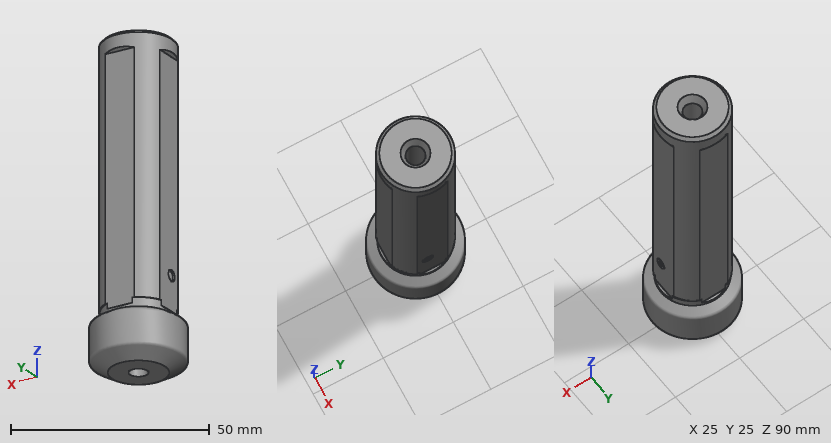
import cadquery as cq
import math

total_height = 90.0
head_radius = 12.5
head_foot_radius = 7.7
neck_radius = 9.7
shank_radius = 10.0
neck_bottom = 14.0
neck_top = 16.5
top_chamfer = 0.9
head_edge_radius = 0.9
cone_slope = math.tan(math.radians(30))

flat_distance = 9.0
flat_bottom = 15.0
flat_top = 85.0

bore_radius = 2.5
countersink_radius = 3.8
countersink_depth = (countersink_radius - bore_radius) / cone_slope

pin_radius = 1.5
pin_y = -1.3
pin_z = 25.0
pin_recess = 0.1
dome_height = 0.45


def make_body():
    """Revolve the headed shank and round the two rims of the head."""
    head_top = neck_bottom - (head_radius - neck_radius) * cone_slope
    head_bottom = (head_radius - head_foot_radius) * cone_slope
    profile = [
        (0, 0),
        (head_foot_radius, 0),
        (head_radius, head_bottom),
        (head_radius, head_top),
        (neck_radius, neck_bottom),
        (neck_radius, neck_top),
        (shank_radius, neck_top),
        (shank_radius, total_height - top_chamfer),
        (shank_radius - top_chamfer, total_height),
        (0, total_height),
    ]
    body = cq.Workplane("XZ").polyline(profile).close().revolve(360, (0, 0), (0, 1))
    rims = body.edges(cq.selectors.RadiusNthSelector(-1))
    return rims.fillet(head_edge_radius)


def make_flat_cutter(angle):
    """Prism outside one flat; its ends slope outward at the run-out angle."""
    depth = head_radius - flat_distance
    runout = depth * cone_slope
    section = [
        (flat_distance, flat_bottom),
        (head_radius, flat_bottom - runout),
        (head_radius, flat_top + runout),
        (flat_distance, flat_top),
    ]
    cutter = cq.Workplane("XZ").polyline(section).close().extrude(shank_radius, both=True)
    return cutter.rotate((0, 0, 0), (0, 0, 1), angle)


def make_bore():
    """Through bore with a 60-degree countersink at the top."""
    profile = [
        (0, 0),
        (bore_radius, 0),
        (bore_radius, total_height - countersink_depth),
        (countersink_radius, total_height),
        (0, total_height),
    ]
    return cq.Workplane("XZ").polyline(profile).close().revolve(360, (0, 0), (0, 1))


def make_pin():
    """Cross pin along X with a shallow spherical dome on each end."""
    tip = flat_distance - pin_recess
    shoulder = tip - dome_height
    sphere_radius = (pin_radius**2 + dome_height**2) / (2 * dome_height)
    half_angle = math.asin(pin_radius / sphere_radius) / 2
    arc_x = tip - sphere_radius * (1 - math.cos(half_angle))
    arc_z = sphere_radius * math.sin(half_angle)
    pin = (
        cq.Workplane("XZ")
        .moveTo(-tip, 0)
        .threePointArc((-arc_x, arc_z), (-shoulder, pin_radius))
        .lineTo(shoulder, pin_radius)
        .threePointArc((arc_x, arc_z), (tip, 0))
        .close()
        .revolve(360, (0, 0), (1, 0))
    )
    return pin.translate((0, pin_y, pin_z))


def make_pin_hole():
    """Cross hole passing through both side flats."""
    hole = cq.Workplane("YZ").center(pin_y, pin_z).circle(pin_radius)
    return hole.extrude(shank_radius, both=True)


result = make_body()
for flat_angle in (0, 90, 180, 270):
    result = result.cut(make_flat_cutter(flat_angle))
result = result.cut(make_bore()).cut(make_pin_hole()).union(make_pin())